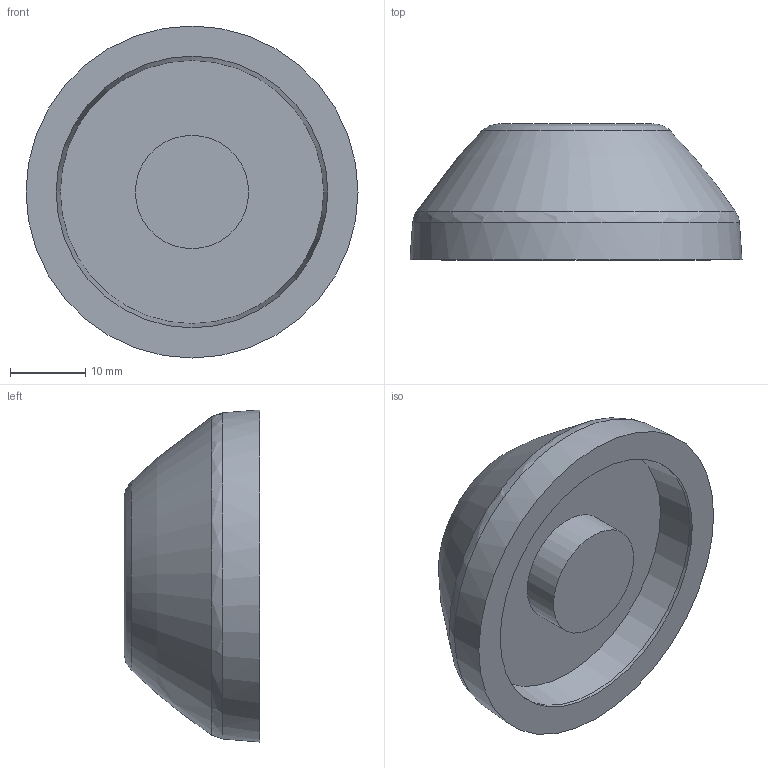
import cadquery as cq
import math

rim_radius = 22.0
height = 18.0
skirt_height = 5.7
skirt_draft_angle = 4.0
crown_radius = 11.6
dome_arc_radius = 80.0
edge_fillet = 3.0

pocket_radius = 18.0
pocket_floor_radius = 17.45
pocket_mouth_depth = 0.5
pocket_depth = 5.4

pin_radius = 7.5
pin_height = pocket_depth - pocket_mouth_depth


def revolve_about_y(profile):
    """Close a profile of (radius, Y) points and turn it fully about the Y axis."""
    return profile.close().revolve(360, (0, 0, 0), (0, 1, 0))


def arc_midpoint(start, end, radius):
    """Middle of a shallow arc that bulges away from the axis and the rim plane."""
    chord_r = end[0] - start[0]
    chord_y = end[1] - start[1]
    chord = math.hypot(chord_r, chord_y)
    sagitta = radius - math.sqrt(radius**2 - (chord / 2) ** 2)
    middle_r = (start[0] + end[0]) / 2 + sagitta * chord_y / chord
    middle_y = (start[1] + end[1]) / 2 - sagitta * chord_r / chord
    return middle_r, middle_y


def make_body():
    """Drafted skirt and slightly domed cone, with both outer corners rounded."""
    skirt_top_radius = rim_radius - skirt_height * math.tan(math.radians(skirt_draft_angle))
    shoulder = (skirt_top_radius, skirt_height)
    crown = (crown_radius, height)
    profile = (
        cq.Workplane("XY")
        .lineTo(rim_radius, 0)
        .lineTo(*shoulder)
        .threePointArc(arc_midpoint(shoulder, crown, dome_arc_radius), crown)
        .lineTo(0, height)
    )
    body = revolve_about_y(profile)
    outer_corners = body.edges("%CIRCLE").edges(cq.selectors.BoxSelector(
        (-rim_radius, skirt_height / 2, -rim_radius),
        (rim_radius, height + edge_fillet, rim_radius),
    ))
    return outer_corners.fillet(edge_fillet)


def make_pocket():
    """Volume removed from the rim face."""
    profile = (
        cq.Workplane("XY")
        .lineTo(pocket_radius, 0)
        .lineTo(pocket_radius, pocket_mouth_depth)
        .lineTo(pocket_floor_radius, pocket_depth)
        .lineTo(0, pocket_depth)
    )
    return revolve_about_y(profile)


def make_pin():
    """Cylinder rising from the pocket floor towards the rim."""
    floor = cq.Workplane("XZ", origin=(0, pocket_depth, 0))
    return floor.circle(pin_radius).extrude(pin_height)


result = make_body().cut(make_pocket()).union(make_pin())